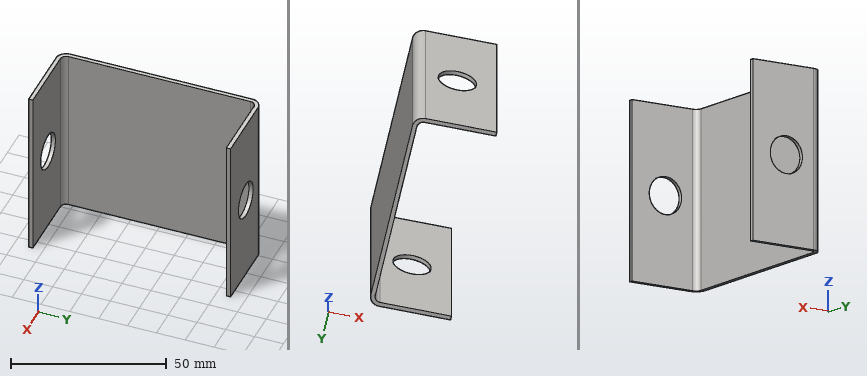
import cadquery as cq

depth = 27.0
width = 70.0
height = 60.0

thickness = 1.5
inner_bend_radius = 2.0
outer_bend_radius = inner_bend_radius + thickness

hole_diameter = 12.5
hole_from_open_edge = 13.0


def make_channel():
    """Bent sheet: a web at X = 0 and two flanges pointing to +X."""
    outer = (
        cq.Workplane("XY")
        .box(depth, width, height, centered=(False, True, True))
        .edges("|Z and <X")
        .fillet(outer_bend_radius)
    )
    cavity = (
        cq.Workplane("XY")
        .box(depth, width - 2 * thickness, height, centered=(False, True, True))
        .edges("|Z and <X")
        .fillet(inner_bend_radius)
        .translate((thickness, 0, 0))
    )
    return outer.cut(cavity)


def make_flange_hole():
    """Cylinder along Y that crosses both flanges."""
    return (
        cq.Workplane("XZ")
        .center(depth - hole_from_open_edge, 0)
        .circle(hole_diameter / 2)
        .extrude(width / 2, both=True)
    )


result = make_channel().cut(make_flange_hole())